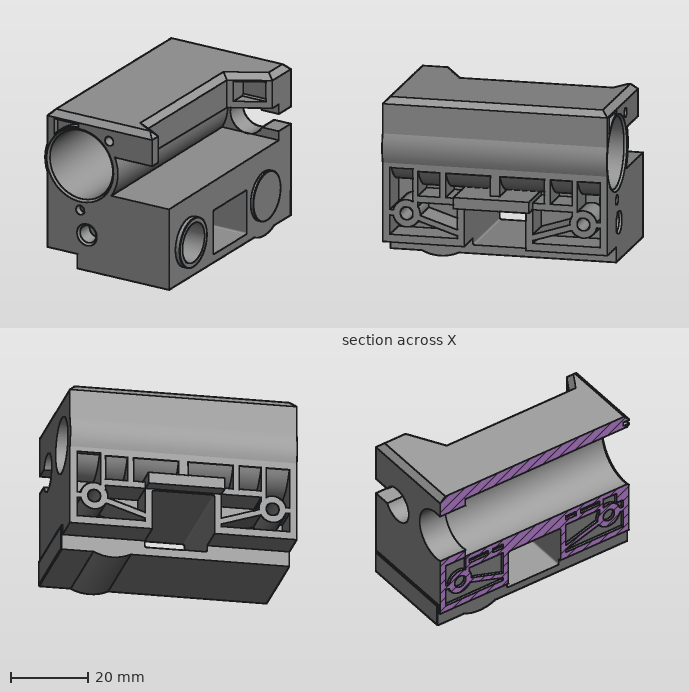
import cadquery as cq


block_width = 37.1
block_length = 60.2
block_height = 42.6
step_width = 9.1
step_height = 4.05
top_chamfer = 1.65
mid_length = block_length / 2

barrel_x = 10.0
barrel_z = 29.1
bulge_radius = 10.75
bore_radius = 9.6
bore_chamfer = 0.6
outlet_radius = 7.5

channel_top = 33.6
channel_bottom = 22.6
channel_arc_radius = 11.5
channel_draft = 0.5
channel_wall = 6.05
rod_x = 27.5
rod_z = 28.0
rod_radius = 5.1
rod_slot_height = 4.8

deck_front_x = 31.95
deck_waist_x = 26.9
deck_front_corner_y = 3.05
deck_front_waist_y = 5.9
deck_rear_waist_y = 45.05
deck_rear_corner_y = 50.95

horn_wall = 1.45
horn_pocket_bottom = 35.0
horn_pocket_top = 40.6
horn_pocket_rear_y = 50.75
horn_pocket_chamfer = 0.5

pocket_depth = 9.1
pocket_wall = 1.95
pocket_inner_y = 20.0
pocket_top = 23.35
rear_pocket_top = 23.95
bar_top = 16.85
bar_bottom = 15.1
lower_pocket_bottom = 6.1
end_bay = (1.95, 8.1)
narrow_bay = (9.45, 15.3)
wide_bay = (16.85, 28.85)
pocket_barrel_radius = 11.3
rear_barrel_radius = 10.0

side_boss_y = 6.4
side_boss_z = 12.0
side_boss_radius = 3.65
side_boss_hole_radius = 1.7
stub_rib_height = 1.5
slant_rib_drop = 4.35
slant_rib_height = 1.65

tab_reach = 4.05
tab_bottom = 15.1
tab_top = 18.1
window_width = 16.5
window_bottom = 2.3
window_top = 14.7
window_fillet = 0.5

disc_z = 10.05
disc_radius = 6.8
front_disc_y = 9.95
front_disc_height = 1.35
rear_disc_y = 47.05
rear_disc_height = 0.85
disc_chamfer = 0.1
cavity_radius = 5.45
cavity_end_x = 12.05
belly_radius = 11.2

screw_radius = 1.3
screw_depth = 7.3
screw_boss_radius = 2.35
screw_boss_length = 2.05
lower_screw_z = 16.55
upper_screw_x = 18.85
upper_screw_z = 37.8
port_radius = 2.4
port_chamfer = 0.6
port_depth = 5.15

corner_pocket_x = (2.05, 9.45)
corner_pocket_z = (34.6, 40.5)
corner_pocket_arc_radius = 10.6
corner_pocket_depth = 1.8

pad_height = 6.75
pad_thickness = 0.4
pad_chamfer = 0.25


def box(x_range, y_range, z_range):
    """Box spanning the given ranges."""
    size = [r[1] - r[0] for r in (x_range, y_range, z_range)]
    corner = (x_range[0], y_range[0], z_range[0])
    return cq.Workplane().box(*size, centered=False).translate(corner)


def rod_along_x(radius, y, z, x_start, x_end):
    """Cylinder parallel to X."""
    return cq.Workplane("YZ", origin=(x_start, y, z)).circle(radius).extrude(x_end - x_start)


def rod_along_y(radius, x, z, y_start, y_end):
    """Cylinder parallel to Y."""
    return cq.Workplane("XZ", origin=(x, y_start, z)).circle(radius).extrude(y_start - y_end)


def front_countersink(radius, depth, x, z):
    """45 degree cone that widens a hole of the given radius at the front face."""
    tool = cq.Solid.makeCone(radius + depth, radius, depth, pnt=(x, 0, z), dir=(0, 1, 0))
    return cq.Workplane(tool)


def make_block():
    lower = box((0, block_width), (0, block_length), (0, rod_z))
    lower = lower.cut(box((0, step_width), (0, block_length), (0, step_height)))
    deck_outline = [
        (0, 0),
        (deck_front_x, 0),
        (deck_front_x, deck_front_corner_y),
        (deck_waist_x, deck_front_waist_y),
        (deck_waist_x, deck_rear_waist_y),
        (block_width, deck_rear_corner_y),
        (block_width, block_length),
        (0, block_length),
    ]
    deck = (
        cq.Workplane(origin=(0, 0, rod_z))
        .polyline(deck_outline)
        .close()
        .extrude(block_height - rod_z)
        .faces(">Z")
        .chamfer(top_chamfer)
    )
    bulge = rod_along_y(bulge_radius, barrel_x, barrel_z, 0, block_length)
    belly = rod_along_x(belly_radius, rear_disc_y, disc_z, step_width, block_width)
    belly = belly.intersect(
        box((0, block_width), (0, block_length), (-belly_radius, window_bottom))
    )
    return lower.union(deck).union(bulge).union(belly)


def make_channel():
    """Drafted channel open to the front and the far side, with the rod seat behind it."""
    outer_x = block_width + channel_arc_radius
    channel = (
        cq.Workplane("XZ")
        .moveTo((barrel_x + outer_x) / 2, (channel_bottom + channel_top) / 2)
        .rect(outer_x - barrel_x, channel_top - channel_bottom)
        .extrude(channel_wall - block_length, taper=channel_draft)
    )
    channel = channel.cut(rod_along_y(channel_arc_radius, barrel_x, barrel_z, 0, block_length))
    seat_start = block_length - channel_wall
    seat = rod_along_y(rod_radius, rod_x, rod_z, seat_start, block_length)
    slot_z = (rod_z - rod_slot_height / 2, rod_z + rod_slot_height / 2)
    slot = box((rod_x, block_width), (seat_start, block_length), slot_z)
    return channel.union(seat).union(slot)


def make_horn_pocket():
    """Pocket sunk rearwards into the slanted face of the rear horn."""
    left_x = deck_waist_x + horn_wall
    right_x = block_width - horn_wall
    return (
        cq.Workplane("XZ", origin=(0, deck_rear_waist_y, 0))
        .moveTo((left_x + right_x) / 2, (horn_pocket_bottom + horn_pocket_top) / 2)
        .rect(right_x - left_x, horn_pocket_top - horn_pocket_bottom)
        .extrude(deck_rear_waist_y - horn_pocket_rear_y)
        .faces(">Y")
        .edges("|X")
        .chamfer(horn_pocket_chamfer)
    )


def make_half_pockets(end_bay_top, barrel_radius):
    """Pockets of the front half of the ribbed wall, with ribs and boss left standing."""
    depth = (0, pocket_depth)
    pockets = box(depth, (pocket_wall, pocket_inner_y), (lower_pocket_bottom, bar_bottom))
    pockets = pockets.union(box(depth, end_bay, (side_boss_z, end_bay_top)))
    for bay in (narrow_bay, wide_bay):
        pockets = pockets.union(box(depth, bay, (bar_top, pocket_top)))

    partition = box(depth, (end_bay[1], narrow_bay[0]), (side_boss_z, bar_bottom))
    stub_z = (side_boss_z - stub_rib_height / 2, side_boss_z + stub_rib_height / 2)
    stub = box(depth, (pocket_wall, side_boss_y), stub_z)
    half_rib = slant_rib_height / 2
    slant_rib = (
        cq.Workplane("YZ")
        .moveTo(side_boss_y, side_boss_z - half_rib)
        .lineTo(pocket_inner_y, side_boss_z - slant_rib_drop - half_rib)
        .lineTo(pocket_inner_y, side_boss_z - slant_rib_drop + half_rib)
        .lineTo(side_boss_y, side_boss_z + half_rib)
        .close()
        .extrude(pocket_depth)
    )
    boss = rod_along_x(side_boss_radius, side_boss_y, side_boss_z, 0, pocket_depth)
    barrel = rod_along_y(pocket_barrel_radius, barrel_x, barrel_z, end_bay[1], mid_length)
    end_barrel = rod_along_y(barrel_radius, barrel_x, barrel_z, 0, end_bay[1])
    for kept in (partition, stub, slant_rib, boss, barrel, end_barrel):
        pockets = pockets.cut(kept)
    boss_hole = rod_along_x(side_boss_hole_radius, side_boss_y, side_boss_z, 0, pocket_depth)
    return pockets.union(boss_hole)


def make_side_pockets():
    front_half = make_half_pockets(pocket_top, pocket_barrel_radius)
    screw_boss_end = pocket_wall + screw_boss_length
    screw_boss = rod_along_y(screw_boss_radius, barrel_x, lower_screw_z, 0, screw_boss_end)
    rear_half = make_half_pockets(rear_pocket_top, rear_barrel_radius)
    rear_half = rear_half.mirror("XZ", (0, mid_length, 0))
    return front_half.cut(screw_boss).union(rear_half)


def make_window():
    return (
        cq.Workplane("YZ", origin=(0, mid_length, (window_bottom + window_top) / 2))
        .rect(window_width, window_top - window_bottom)
        .extrude(block_width)
        .edges("|X")
        .fillet(window_fillet)
    )


def make_main_bore():
    bore = rod_along_y(bore_radius, barrel_x, barrel_z, 0, block_length - end_bay[1])
    outlet = rod_along_y(outlet_radius, barrel_x, barrel_z, 0, block_length)
    return bore.union(outlet).union(
        front_countersink(bore_radius, bore_chamfer, barrel_x, barrel_z)
    )


def make_front_holes():
    lower_screw = rod_along_y(screw_radius, barrel_x, lower_screw_z, 0, screw_boss_length)
    upper_screw = rod_along_y(screw_radius, upper_screw_x, upper_screw_z, 0, screw_depth)
    port = rod_along_y(port_radius, cavity_end_x, disc_z, 0, port_depth)
    port = port.union(front_countersink(port_radius, port_chamfer, cavity_end_x, disc_z))
    corner = box(corner_pocket_x, (0, corner_pocket_depth), corner_pocket_z)
    corner = corner.cut(
        rod_along_y(corner_pocket_arc_radius, barrel_x, barrel_z, 0, corner_pocket_depth)
    )
    return lower_screw.union(upper_screw).union(port).union(corner)


def make_disc(y, height):
    """Raised disc on the far side wall with a chamfered rim."""
    disc = rod_along_x(disc_radius, y, disc_z, block_width, block_width + height)
    return disc.faces(">X").chamfer(disc_chamfer)


def make_rear_pad():
    pad = box(
        (step_width, block_width - pad_chamfer),
        (block_length - pad_thickness, block_length + pad_thickness),
        (0, pad_height),
    )
    return pad.faces(">Y").chamfer(pad_chamfer)


tab = box(
    (-tab_reach, pocket_depth),
    (pocket_inner_y, block_length - pocket_inner_y),
    (tab_bottom, tab_top),
)
cavity_end = block_width + front_disc_height
cavity = rod_along_x(cavity_radius, front_disc_y, disc_z, cavity_end_x, cavity_end)

result = (
    make_block()
    .cut(make_channel())
    .cut(make_horn_pocket())
    .cut(make_side_pockets())
    .cut(make_main_bore())
    .union(tab)
    .union(make_disc(front_disc_y, front_disc_height))
    .union(make_disc(rear_disc_y, rear_disc_height))
    .union(make_rear_pad())
    .cut(cavity)
    .cut(make_front_holes())
    .cut(make_window())
)